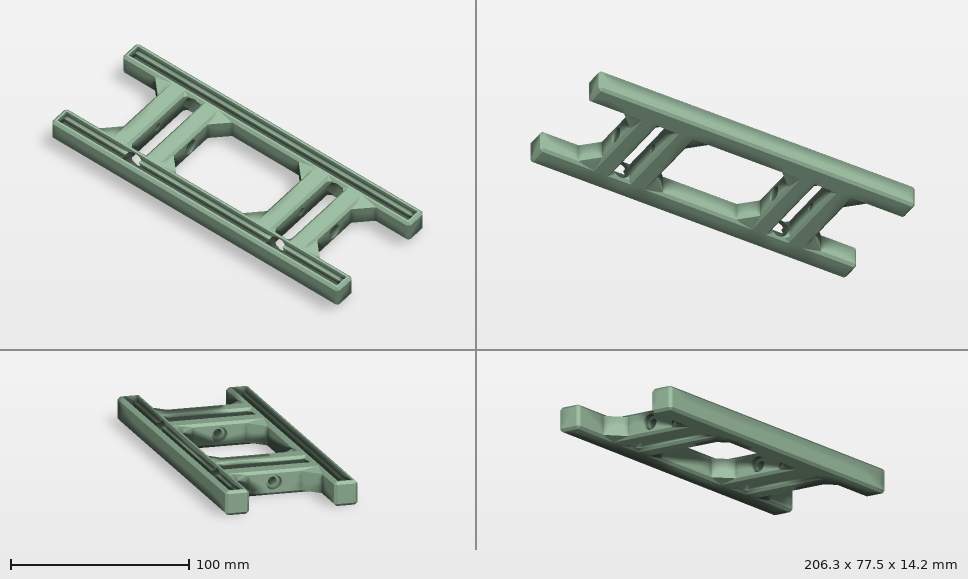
import cadquery as cq
import math

length = 206.3
width = 77.5
height = 14.2
edge_chamfer = 1.55
top_z = height / 2

rail_width = 13.8
rail_y = (width - rail_width) / 2

groove_length = 201.0
groove_width = 8.5
groove_depth = 3.5
channel_width = 3.7
channel_depth = 6.2

pair_spacing = 103.2
pair_width = 36.0
slot_width = 11.8
bar_width = (pair_width - slot_width) / 2
bar_offset = (slot_width + bar_width) / 2

gusset_leg = 12.8
slot_brace_leg = 5.0

bolt_hole_diameter = 5.2
counterbore_diameter = 9.0
counterbore_depth = 3.5
rail_bore_diameter = 11.8
rail_bore_end_y = 31.8
rail_bore_depth = rail_bore_end_y - (width / 2 - rail_width) + slot_brace_leg


def make_rail(y_side):
    """Rail with every edge chamfered and a two-step groove in its top."""
    rail = cq.Workplane("XY").box(length, rail_width, height).edges().chamfer(edge_chamfer)
    for step_width, step_depth in ((groove_width, groove_depth), (channel_width, channel_depth)):
        groove = cq.Workplane("XY", origin=(0, 0, top_z)).rect(groove_length, step_width).extrude(-step_depth)
        rail = rail.cut(groove)
    return rail.translate((0, y_side * rail_y, 0))


def make_bar(x):
    """Crossbar with chamfered long edges; its ends reach the top edges of the rails."""
    bar_length = width - 2 * rail_width + 2 * edge_chamfer
    bar = cq.Workplane("XY").box(bar_width, bar_length, height).edges("|Y").chamfer(edge_chamfer)
    return bar.translate((x, 0, 0))


def make_brace(x, y, x_side, y_side, leg):
    """Triangular corner brace whose top and bottom slope down towards its outer face."""
    reach = leg / math.sqrt(2)
    outer_z = top_z - edge_chamfer
    wedge = (
        cq.Workplane("XZ")
        .polyline([(0, top_z), (reach, outer_z), (reach, -outer_z), (0, -top_z)]).close()
        .extrude(leg, both=True)
        .rotate((0, 0, 0), (0, 0, 1), math.degrees(math.atan2(y_side, x_side)))
    )
    triangle = (
        cq.Workplane("XY", origin=(0, 0, -top_z))
        .polyline([(0, 0), (x_side * leg, 0), (0, y_side * leg)]).close()
        .extrude(height)
    )
    return wedge.intersect(triangle).translate((x, y, 0))


def make_cylinder_x(x, diameter, depth):
    """Cylinder on the X axis, starting at x; a negative depth runs towards -X."""
    return cq.Workplane("YZ", origin=(x, 0, 0)).circle(diameter / 2).extrude(depth)


sides = (-1, 1)
pair_centres = [side * pair_spacing / 2 for side in sides]
brace_y = width / 2 - rail_width + edge_chamfer

plain_slot_end = (-pair_spacing / 2, 1)

result = make_rail(-1).union(make_rail(1))

for pair_x in pair_centres:
    for x_side in sides:
        result = result.union(make_bar(pair_x + x_side * bar_offset))

for pair_x in pair_centres:
    for x_side in sides:
        gusset_x = pair_x + x_side * (pair_width / 2 - edge_chamfer)
        slot_brace_x = pair_x + x_side * (slot_width / 2 + edge_chamfer)
        for y_side in sides:
            gusset = make_brace(gusset_x, y_side * brace_y, x_side, -y_side, gusset_leg)
            result = result.union(gusset)
            if (pair_x, x_side) != plain_slot_end:
                slot_brace = make_brace(slot_brace_x, y_side * brace_y, -x_side, -y_side, slot_brace_leg)
                result = result.union(slot_brace)

for pair_x in pair_centres:
    result = result.cut(make_cylinder_x(pair_x - pair_width / 2, bolt_hole_diameter, pair_width))
    for x_side in sides:
        outer_x = pair_x + x_side * pair_width / 2
        result = result.cut(make_cylinder_x(outer_x, counterbore_diameter, -x_side * counterbore_depth))

for pair_x in pair_centres:
    for y_side in sides:
        bore = (
            cq.Workplane("XZ", origin=(pair_x, y_side * rail_bore_end_y, 0))
            .circle(rail_bore_diameter / 2).extrude(y_side * rail_bore_depth)
        )
        result = result.cut(bore)